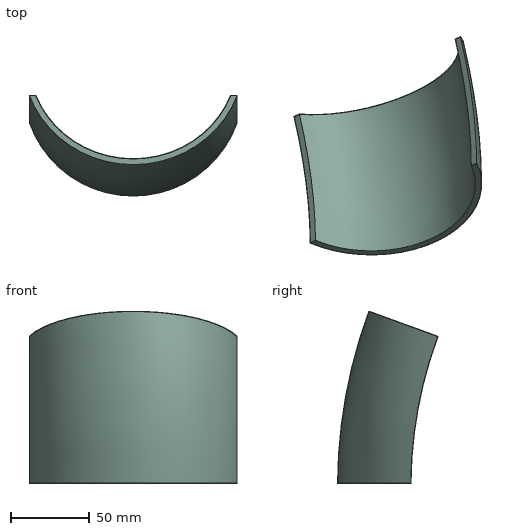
import cadquery as cq
import math

outer_width = 133.14
overall_depth = 64.39
height = 110.16
section_depth = 47.1
wall = 4.0
bend_angle = 20.0

half_width = outer_width / 2
outer_radius = (half_width**2 + section_depth**2) / (2 * section_depth)
inner_radius = outer_radius - wall
edge_y = section_depth - outer_radius
inner_half_width = math.sqrt(inner_radius**2 - edge_y**2)

bend = math.radians(bend_angle)
offset_y = overall_depth - section_depth * math.cos(bend)
chord = math.hypot(offset_y, height)
bend_radius = chord / (2 * math.sin(bend / 2))
base_lean = math.atan2(offset_y, height) - bend / 2

axis_y = bend_radius * math.cos(base_lean) - outer_radius
axis_z = -bend_radius * math.sin(base_lean)


def shell_section():
    """Arc-shaped wall in the base plane."""
    return (
        cq.Workplane("XY")
        .moveTo(-half_width, edge_y)
        .threePointArc((0, -outer_radius), (half_width, edge_y))
        .lineTo(inner_half_width, edge_y)
        .threePointArc((0, -inner_radius), (-inner_half_width, edge_y))
        .close()
    )


result = shell_section().revolve(bend_angle, (0, axis_y, axis_z), (-1, axis_y, axis_z))